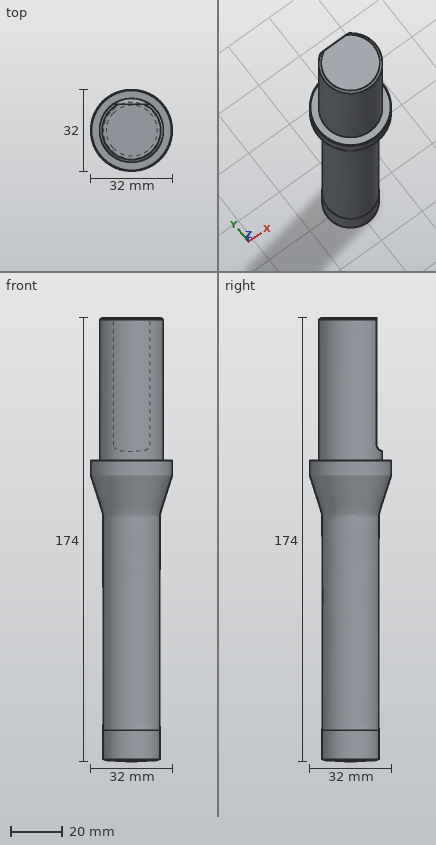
import cadquery as cq

TOTAL_LENGTH = 174.0
COLLAR_TOP_Z = 118.3
COLLAR_BOTTOM_Z = 112.2
FLARE_BEND_Z = 97.5
FLARE_BOTTOM_Z = 96.0
TAPER_TOP_Z = 90.8
TAPER_BOTTOM_Z = 57.5
LOWER_BODY_BOTTOM_Z = 15.5
TIP_TOP_Z = 12.4

SHANK_DIAMETER = 25.0
COLLAR_DIAMETER = 32.0
FULL_BODY_DIAMETER = 22.5
LOWER_BODY_DIAMETER = 22.3

SHANK_CHAMFER_WIDTH = 1.0
SHANK_CHAMFER_HEIGHT = 0.7
COLLAR_CHAMFER = 0.3
TIP_CHAMFER_WIDTH = 1.2
TIP_CHAMFER_HEIGHT = 0.5
TIP_CONE_HEIGHT = 0.5

FLAT_Y = 10.3
FLAT_BOTTOM_Z = 124.4
FLAT_RUNOUT_RADIUS = 2.6

SHANK_RADIUS = SHANK_DIAMETER / 2
COLLAR_RADIUS = COLLAR_DIAMETER / 2
LOWER_BODY_RADIUS = LOWER_BODY_DIAMETER / 2
FULL_BODY_RADIUS = FULL_BODY_DIAMETER / 2


def revolve_profile(profile):
    """Close a radius-height profile and turn it about the Z axis."""
    return profile.close().revolve(360, (0, 0, 0), (0, 1, 0))


def make_flat_cutter():
    """Block that leaves a vertical flat with a concave rounded run-out at its foot."""
    runout_center_y = FLAT_Y + FLAT_RUNOUT_RADIUS
    return (
        cq.Workplane("YZ")
        .moveTo(FLAT_Y, TOTAL_LENGTH)
        .lineTo(FLAT_Y, FLAT_BOTTOM_Z)
        .radiusArc((runout_center_y, FLAT_BOTTOM_Z - FLAT_RUNOUT_RADIUS), -FLAT_RUNOUT_RADIUS)
        .lineTo(runout_center_y, TOTAL_LENGTH)
        .close()
        .extrude(SHANK_RADIUS, both=True)
    )


def make_holder():
    """Shank, collar, flare and long body that tapers slightly to its lower part."""
    flare_curve = [
        (FULL_BODY_RADIUS, FLARE_BEND_Z),
        (FULL_BODY_RADIUS, FLARE_BEND_Z),
        (COLLAR_RADIUS, COLLAR_BOTTOM_Z),
    ]
    profile = (
        cq.Workplane("XZ")
        .moveTo(0, TIP_TOP_Z)
        .lineTo(FULL_BODY_RADIUS, TIP_TOP_Z)
        .lineTo(LOWER_BODY_RADIUS, LOWER_BODY_BOTTOM_Z)
        .lineTo(LOWER_BODY_RADIUS, TAPER_BOTTOM_Z)
        .lineTo(FULL_BODY_RADIUS, TAPER_TOP_Z)
        .lineTo(FULL_BODY_RADIUS, FLARE_BOTTOM_Z)
        .bezier(flare_curve, includeCurrent=True)
        .lineTo(COLLAR_RADIUS, COLLAR_TOP_Z - COLLAR_CHAMFER)
        .lineTo(COLLAR_RADIUS - COLLAR_CHAMFER, COLLAR_TOP_Z)
        .lineTo(SHANK_RADIUS, COLLAR_TOP_Z)
        .lineTo(SHANK_RADIUS, TOTAL_LENGTH - SHANK_CHAMFER_HEIGHT)
        .lineTo(SHANK_RADIUS - SHANK_CHAMFER_WIDTH, TOTAL_LENGTH)
        .lineTo(0, TOTAL_LENGTH)
    )
    return revolve_profile(profile).cut(make_flat_cutter())


def make_tip():
    """Cylindrical tip with a chamfered, shallow conical end."""
    profile = (
        cq.Workplane("XZ")
        .lineTo(FULL_BODY_RADIUS - TIP_CHAMFER_WIDTH, TIP_CONE_HEIGHT)
        .lineTo(FULL_BODY_RADIUS, TIP_CONE_HEIGHT + TIP_CHAMFER_HEIGHT)
        .lineTo(FULL_BODY_RADIUS, TIP_TOP_Z)
        .lineTo(0, TIP_TOP_Z)
    )
    return revolve_profile(profile)


holder = make_holder()
tip = make_tip()

result = cq.Compound.makeCompound([holder.val(), tip.val()])